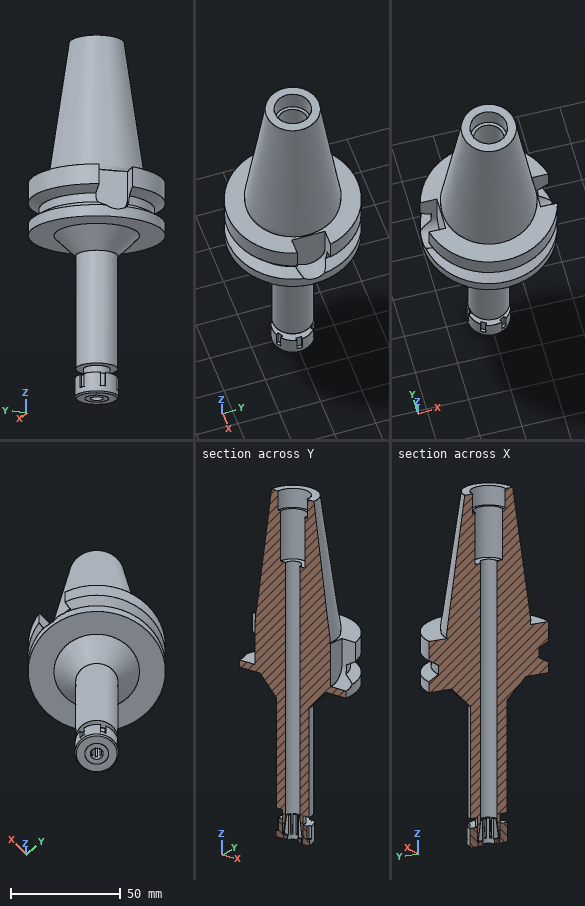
import cadquery as cq
import math

taper_top = 65.5
overall_length = 170.4

taper_ratio = 7 / 24
gauge_diameter = 44.5
gauge_radius = gauge_diameter / 2
taper_top_radius = gauge_radius - taper_top * taper_ratio / 2
collar_radius = 22.0

flange_radius = 31.5
flange_top = -2.0
flange_bottom = -27.0
groove_center = -16.5
groove_floor_diameter = 53.0
groove_floor_radius = groove_floor_diameter / 2
groove_floor_width = 4.3
groove_floor_half_width = groove_floor_width / 2
groove_flank_angle = 30.0
groove_mouth_half_width = groove_floor_half_width + (
    flange_radius - groove_floor_radius
) * math.tan(math.radians(groove_flank_angle))

drive_slot_width = 16.0
drive_slot_bottom = -23.2
drive_slot_floor = 22.5

shank_radius = 9.7
shank_top = -36.8
shank_bottom = -90.8
cone_radius = shank_radius + (flange_bottom - shank_top)
neck_radius = 6.1

counterbore_radius = 8.5
counterbore_depth = 9.4
stud_bore_radius = 7.0
stud_bore_depth = 34.0
passage_radius = 4.1

nut_radius = 10.0
nut_top = -95.3
nut_bottom = taper_top - overall_length
nut_chamfer = 0.7
nut_floor_thickness = 2.5
nut_slot_count = 6
nut_slot_width = 2.5
nut_slot_height = 6.3
nut_slot_floor = 8.7
neck_bottom = nut_bottom + nut_floor_thickness

collet_bore_radius = 2.9
collet_nose_radius = 5.5
collet_taper_angle = 8.0
collet_taper_length = (collet_nose_radius - passage_radius) / math.tan(
    math.radians(collet_taper_angle)
)
collet_top = neck_bottom + collet_taper_length
collet_slot_count = 8
collet_slot_width = 1.0


def revolve_profile(points):
    """Revolve a closed (radius, z) outline a full turn about the Z axis."""
    return cq.Workplane("YZ").polyline(points).close().revolve(360, (0, 0), (0, 1))


def cylinder(radius, bottom, top):
    """Cylinder on the Z axis between two heights."""
    return cq.Workplane("XY").workplane(offset=bottom).circle(radius).extrude(top - bottom)


def make_drive_slot(side):
    """Round-bottomed slot cutter, open upward and outward; side is -1 or +1 along X."""
    half_width = drive_slot_width / 2
    arc_center = drive_slot_bottom + half_width
    return (
        cq.Workplane("YZ")
        .workplane(offset=side * drive_slot_floor)
        .moveTo(-half_width, flange_top)
        .lineTo(-half_width, arc_center)
        .threePointArc((0, drive_slot_bottom), (half_width, arc_center))
        .lineTo(half_width, flange_top)
        .close()
        .extrude(side * flange_radius)
    )


def make_collet_envelope():
    """Outer shape of the collet, also used to cut its seat."""
    return revolve_profile([
        (0, nut_bottom),
        (collet_nose_radius, nut_bottom),
        (collet_nose_radius, neck_bottom),
        (passage_radius, collet_top),
        (0, collet_top),
    ])


def make_holder():
    """Tapered holder with its flange, shank, neck and the stepped bore along its axis."""
    body = revolve_profile([
        (0, taper_top),
        (taper_top_radius, taper_top),
        (gauge_radius, 0),
        (collar_radius, flange_top),
        (flange_radius, flange_top),
        (flange_radius, groove_center + groove_mouth_half_width),
        (groove_floor_radius, groove_center + groove_floor_half_width),
        (groove_floor_radius, groove_center - groove_floor_half_width),
        (flange_radius, groove_center - groove_mouth_half_width),
        (flange_radius, flange_bottom),
        (cone_radius, flange_bottom),
        (shank_radius, shank_top),
        (shank_radius, shank_bottom),
        (neck_radius, shank_bottom),
        (neck_radius, neck_bottom),
        (0, neck_bottom),
    ])
    for side in (-1, 1):
        body = body.cut(make_drive_slot(side))
    body = body.cut(cylinder(counterbore_radius, taper_top - counterbore_depth, taper_top))
    body = body.cut(cylinder(stud_bore_radius, taper_top - stud_bore_depth, taper_top))
    body = body.cut(cylinder(passage_radius, neck_bottom, taper_top))
    return body.cut(make_collet_envelope())


def make_nut():
    """Clamping nut around the neck, with wrench slots open at its top and side."""
    nut = cylinder(nut_radius, nut_bottom, nut_top).faces("<Z").edges().chamfer(nut_chamfer)
    nut = nut.cut(cylinder(neck_radius, neck_bottom, nut_top))
    nut = nut.cut(cylinder(collet_nose_radius, nut_bottom, neck_bottom))
    slot_depth = nut_radius - nut_slot_floor
    slot = cq.Workplane("XY").box(
        2 * slot_depth, nut_slot_width, nut_slot_height, centered=(False, True, False)
    ).translate((nut_slot_floor, 0, nut_top - nut_slot_height))
    for index in range(nut_slot_count):
        nut = nut.cut(slot.rotate((0, 0, 0), (0, 0, 1), index * 360 / nut_slot_count))
    return nut


def make_collet():
    """Collet with radial slots through its tapered part, joined by a solid ring at the nose."""
    collet = make_collet_envelope().cut(cylinder(collet_bore_radius, nut_bottom, collet_top))
    slot = cq.Workplane("XY").box(
        2 * collet_nose_radius, collet_slot_width, collet_taper_length, centered=(False, True, False)
    ).translate((0, 0, neck_bottom))
    for index in range(collet_slot_count):
        collet = collet.cut(slot.rotate((0, 0, 0), (0, 0, 1), index * 360 / collet_slot_count))
    return collet


holder = make_holder()
nut = make_nut()
collet = make_collet()

result = cq.Compound.makeCompound([holder.val(), nut.val(), collet.val()])